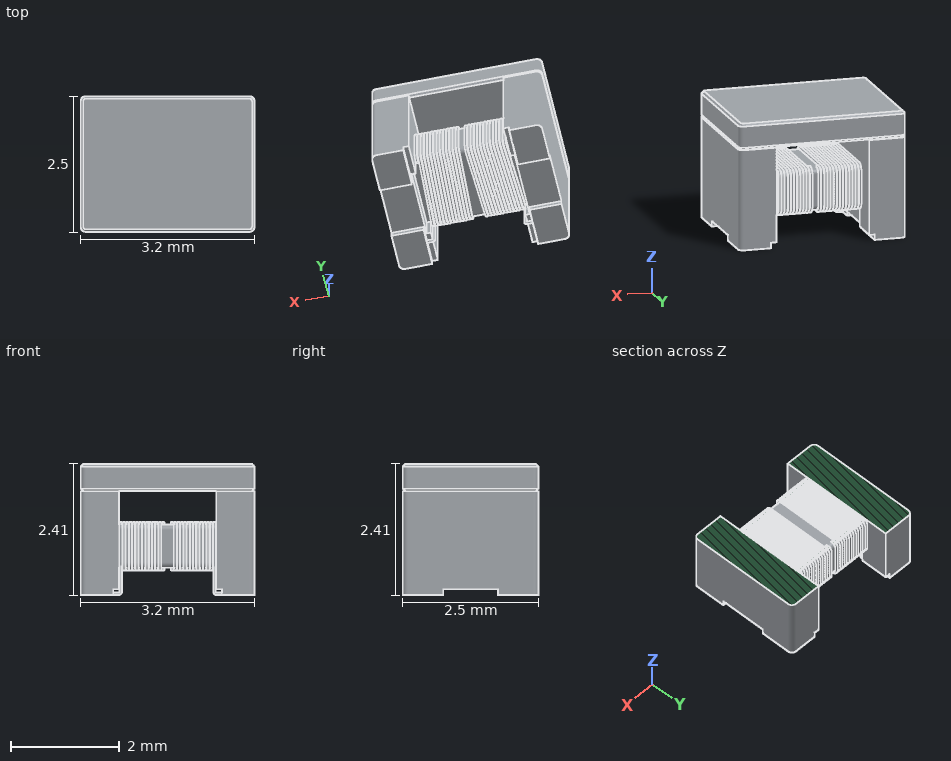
import cadquery as cq
import math

LENGTH = 3.2
WIDTH = 2.5
HEIGHT = 2.41
CORNER_RADIUS = 0.1

LID_THICKNESS = 0.5
LID_CHAMFER = 0.048

LEG_HEIGHT = HEIGHT - LID_THICKNESS
LEG_LENGTH = 0.71
LEG_INNER_X = LENGTH / 2 - LEG_LENGTH
CHANNEL_WIDTH = 1.0
CHANNEL_HEIGHT = 0.105
RELIEF_DEPTH = 0.105
RECESS_WIDTH = 1.3
RECESS_DEPTH = 0.08

BAR_WIDTH = 1.505
BAR_HEIGHT = 0.8
BAR_EDGE_RADIUS = 0.1
BAR_CENTER_Z = 0.9
BAR_BOTTOM_Z = BAR_CENTER_Z - BAR_HEIGHT / 2
BAR_TOP_Z = BAR_CENTER_Z + BAR_HEIGHT / 2

WIRE_DIAMETER = 0.05
WIRE_RADIUS = WIRE_DIAMETER / 2
WIRE_OFFSET = 0.022
TURNS = 13
COIL_LENGTH = 0.832
PITCH = (COIL_LENGTH - WIRE_DIAMETER) / TURNS
LEG_CLEARANCE = 0.003
FIRST_TURN_X = -LEG_INNER_X + LEG_CLEARANCE + WIRE_RADIUS

LEAD_DIAMETER = 0.048
LEAD_RADIUS = LEAD_DIAMETER / 2
LEAD_BEND_RADIUS = 0.04
LEAD_START_Z = BAR_CENTER_Z

TURN_RADIUS = BAR_EDGE_RADIUS + WIRE_OFFSET
TURN_SIDE_Y = BAR_WIDTH / 2 + WIRE_OFFSET
TURN_FLAT_Y = TURN_SIDE_Y - TURN_RADIUS
TURN_TOP_Z = BAR_TOP_Z + WIRE_OFFSET
TURN_BOTTOM_Z = BAR_BOTTOM_Z - WIRE_OFFSET
STRAIGHT_TOP_Z = TURN_TOP_Z - TURN_RADIUS
STRAIGHT_BOTTOM_Z = TURN_BOTTOM_Z + TURN_RADIUS
ARC_INSET = TURN_RADIUS * (1 - math.cos(math.pi / 4))


def make_lid():
    """Plate with rounded corners and chamfered top and bottom edges."""
    return (
        cq.Workplane("XY", origin=(0, 0, LEG_HEIGHT))
        .box(LENGTH, WIDTH, LID_THICKNESS, centered=(True, True, False))
        .edges("|Z")
        .fillet(CORNER_RADIUS)
        .faces("<Z or >Z")
        .edges()
        .chamfer(LID_CHAMFER)
    )


def make_leg():
    """Leg at the -X end."""
    leg = (
        cq.Workplane("XY", origin=(-LENGTH / 2, 0, 0))
        .box(LEG_LENGTH, WIDTH, LEG_HEIGHT, centered=(False, True, False))
        .edges("|Z and <X")
        .fillet(CORNER_RADIUS)
    )
    channel = cq.Workplane("XY", origin=(-LENGTH / 2, 0, 0)).box(
        LEG_LENGTH, CHANNEL_WIDTH, CHANNEL_HEIGHT, centered=(False, True, False)
    )
    relief = cq.Workplane("XY", origin=(-LEG_INNER_X - RELIEF_DEPTH, 0, 0)).box(
        RELIEF_DEPTH, WIDTH, CHANNEL_HEIGHT, centered=(False, True, False)
    )
    recess = cq.Workplane("XY", origin=(-LEG_INNER_X - RECESS_DEPTH, 0, 0)).box(
        RECESS_DEPTH, RECESS_WIDTH, BAR_BOTTOM_Z, centered=(False, True, False)
    )
    return leg.cut(channel).cut(relief).cut(recess)


def make_bar():
    """Bar joining the two legs, with rounded long edges."""
    return (
        cq.Workplane("XY", origin=(0, 0, BAR_CENTER_Z))
        .box(2 * LEG_INNER_X, BAR_WIDTH, BAR_HEIGHT)
        .edges("|X")
        .fillet(BAR_EDGE_RADIUS)
    )


def corner_arc(x, y_sign, z_sign):
    """Centreline arc of a turn around one long edge of the bar, from the side to the flat."""
    side_z = STRAIGHT_TOP_Z if z_sign > 0 else STRAIGHT_BOTTOM_Z
    flat_z = TURN_TOP_Z if z_sign > 0 else TURN_BOTTOM_Z
    return (
        cq.Vector(x, y_sign * TURN_SIDE_Y, side_z),
        cq.Vector(x, y_sign * (TURN_SIDE_Y - ARC_INSET), flat_z - z_sign * ARC_INSET),
        cq.Vector(x, y_sign * TURN_FLAT_Y, flat_z),
    )


def make_back_strand(x):
    """Wire from under the bar up its back side to the top."""
    under, low_mid, low = reversed(corner_arc(x, 1, -1))
    high, high_mid, top = corner_arc(x, 1, 1)
    path = cq.Wire.assembleEdges([
        cq.Edge.makeThreePointArc(under, low_mid, low),
        cq.Edge.makeLine(low, high),
        cq.Edge.makeThreePointArc(high, high_mid, top),
    ])
    profile = cq.Workplane("XZ", origin=under.toTuple()).circle(WIRE_RADIUS)
    return profile.sweep(cq.Workplane(obj=path)).val()


def make_top_strand(x):
    """Straight wire across the top of the bar."""
    profile = cq.Workplane("XZ", origin=(x, TURN_FLAT_Y, TURN_TOP_Z)).circle(WIRE_RADIUS)
    return profile.extrude(2 * TURN_FLAT_Y).val()


def make_under_strand(x):
    """Wire under the bar, stepping one pitch along X from the front to the back."""
    outline = cq.Wire.makeCircle(WIRE_RADIUS, cq.Vector(x, -TURN_FLAT_Y, TURN_BOTTOM_Z), cq.Vector(0, 1, 0))
    return cq.Solid.extrudeLinear(outline, [], cq.Vector(PITCH, 2 * TURN_FLAT_Y, 0))


def make_winding_strands():
    """Strands of a coil of turns side by side, with one more strand up the back of the bar at the end."""
    strands = [make_back_strand(FIRST_TURN_X + TURNS * PITCH)]
    for turn in range(TURNS):
        x = FIRST_TURN_X + turn * PITCH
        back_strand = make_back_strand(x)
        strands += [back_strand, make_top_strand(x), back_strand.mirror("XZ"), make_under_strand(x)]
    return strands


def make_lead():
    """Wire end that runs down from the first turn and bends into the relief of the leg."""
    foot_length = RELIEF_DEPTH + LEG_CLEARANCE + WIRE_RADIUS - LEAD_BEND_RADIUS
    return (
        cq.Workplane("XY", origin=(FIRST_TURN_X, -TURN_SIDE_Y, LEAD_START_Z))
        .circle(LEAD_RADIUS)
        .sweep(
            cq.Workplane("XZ", origin=(FIRST_TURN_X, -TURN_SIDE_Y, 0))
            .moveTo(0, LEAD_START_Z)
            .lineTo(0, LEAD_RADIUS + LEAD_BEND_RADIUS)
            .radiusArc((-LEAD_BEND_RADIUS, LEAD_RADIUS), LEAD_BEND_RADIUS)
            .line(-foot_length, 0)
        )
    )


def make_wound_core():
    """Legs, bar and windings in one piece, mirrored about the YZ plane."""
    strands = make_winding_strands() + [make_lead().val()]
    winding = strands[0].fuse(*strands[1:])
    half_parts = [make_leg().val(), winding]
    mirrored_parts = [part.mirror("YZ") for part in half_parts]
    return cq.Workplane(make_bar().val().fuse(*half_parts, *mirrored_parts))


lid = make_lid()
wound_core = make_wound_core()

result = cq.Compound.makeCompound([lid.val(), *wound_core.solids().vals()])